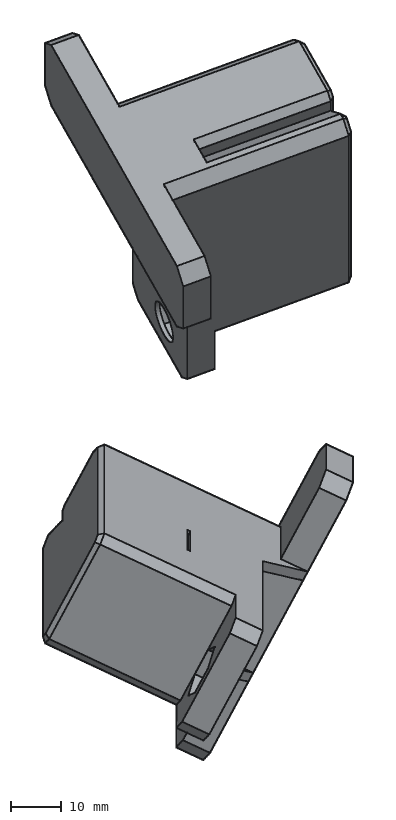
import cadquery as cq
import math

PLATE_WIDTH = 66.0
PLATE_THICKNESS = 6.0
PLATE_HEIGHT = 20.0
PLATE_CHAMFER = 3.05

BODY_WIDTH = 26.15
BODY_HEIGHT = 52.8
BODY_FRONT = 9.95
BODY_BACK = 46.0
BODY_TOP_CHAMFER = 2.6
BODY_BOTTOM_CHAMFER = 1.85
BODY_END_CHAMFER = 1.0

TAB_THICKNESS = 6.0
TAB_BOTTOM = -66.0
TAB_CHAMFER = 2.6
TAB_BACK = BODY_FRONT + TAB_THICKNESS

HOLE_X = 2.0
HOLE_Z = TAB_BOTTOM + 8.0
HOLE_DIAMETER = 8.6
NUT_ACROSS_FLATS = 10.0
NUT_POCKET_DEPTH = 5.0

RIB_WIDTH = 2.1
RIB_ANGLE = 30.0

GROOVE_LEFT = 2.9
GROOVE_ROOT = 4.5
GROOVE_RIGHT = 9.2
GROOVE_FRONT = TAB_BACK

SLIT_Y = 26.35
SLIT_WIDTH = 0.65
SLIT_DEPTH = 1.0
SLIT_TOP = -27.9
SLIT_BOTTOM = -38.6


def box_between(x_range, y_range, z_range):
    """Axis-aligned box given by its (low, high) limits."""
    low, high = zip(x_range, y_range, z_range)
    size = [b - a for a, b in zip(low, high)]
    return cq.Workplane("XY").box(*size, centered=False).translate(low)


def extrude_along_y(points, y_start, y_end):
    """Closed (x, z) outline extruded from y_start to y_end."""
    plane = cq.Workplane("XZ", origin=(0, y_start, 0))
    return plane.polyline(points).close().extrude(y_start - y_end)


def make_plate():
    half = PLATE_WIDTH / 2
    plate = box_between((-half, half), (0, PLATE_THICKNESS), (-PLATE_HEIGHT, 0))
    return plate.edges("|Y").chamfer(PLATE_CHAMFER)


def make_groove():
    """Lopsided V: 45 degree flanks, with an upright step on the left one."""
    outline = [
        (GROOVE_LEFT, 0),
        (GROOVE_ROOT, GROOVE_LEFT - GROOVE_ROOT),
        (GROOVE_ROOT, GROOVE_ROOT - GROOVE_RIGHT),
        (GROOVE_RIGHT, 0),
    ]
    return extrude_along_y(outline, GROOVE_FRONT, BODY_BACK)


def make_body():
    half = BODY_WIDTH / 2
    body = box_between((-half, half), (PLATE_THICKNESS, BODY_BACK), (-BODY_HEIGHT, 0))
    body = body.edges("|Y and >Z").chamfer(BODY_TOP_CHAMFER)
    body = body.edges("|Y and <Z").chamfer(BODY_BOTTOM_CHAMFER)
    body = body.cut(make_groove())
    body = body.faces(">Y").chamfer(BODY_END_CHAMFER)
    below_plate = box_between((-half, half), (0, BODY_FRONT), (-BODY_HEIGHT, -PLATE_HEIGHT))
    return body.cut(below_plate)


def make_tab():
    half = BODY_WIDTH / 2
    tab = box_between((-half, half), (BODY_FRONT, TAB_BACK), (TAB_BOTTOM, -PLATE_HEIGHT))
    return tab.edges("|Y and <Z").chamfer(TAB_CHAMFER)


def make_ribs():
    drop = BODY_FRONT * math.tan(math.radians(RIB_ANGLE))
    outline = [
        (0, -PLATE_HEIGHT),
        (BODY_FRONT, -PLATE_HEIGHT),
        (BODY_FRONT, -PLATE_HEIGHT - drop),
    ]
    rib = cq.Workplane("YZ").polyline(outline).close().extrude(RIB_WIDTH)
    left = rib.translate((-BODY_WIDTH / 2, 0, 0))
    return left.union(left.mirror("YZ"))


def make_bolt_hole():
    across_corners = NUT_ACROSS_FLATS / math.cos(math.radians(30))
    back = cq.Workplane("XZ", origin=(HOLE_X, TAB_BACK, HOLE_Z))
    hole = back.circle(HOLE_DIAMETER / 2).extrude(TAB_THICKNESS)
    return hole.union(back.polygon(6, across_corners).extrude(NUT_POCKET_DEPTH))


def make_slit():
    side = -BODY_WIDTH / 2
    front = SLIT_Y - SLIT_WIDTH / 2
    return box_between(
        (side, side + SLIT_DEPTH),
        (front, front + SLIT_WIDTH),
        (SLIT_BOTTOM, SLIT_TOP),
    )


result = (
    make_plate()
    .union(make_body())
    .union(make_tab())
    .union(make_ribs())
    .cut(make_bolt_hole())
    .cut(make_slit())
)